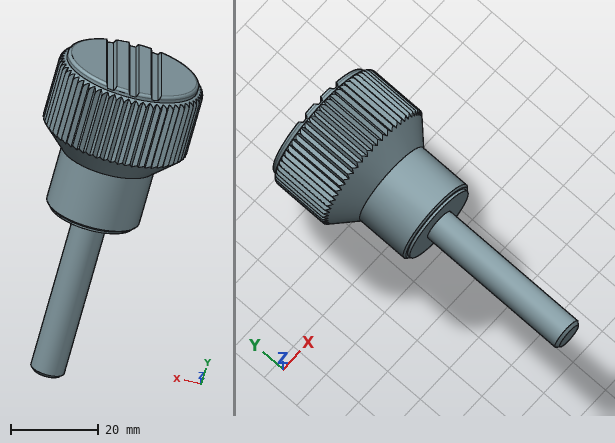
import cadquery as cq
import math


total_length = 77.5
stem_length = 40.0
head_length = total_length - stem_length

stem_diameter = 8.0
stem_chamfer = 0.8

seat_diameter = 20.0
seat_height = 0.7
neck_diameter = 22.0
neck_chamfer = 0.5
neck_top = 14.6

grip_diameter = 34.0
tooth_count = 60
tooth_depth = 0.85

cap_diameter = 31.0
cap_height = 1.5
cap_edge_radius = 0.7

groove_count = 3
groove_spacing = 5.3
groove_depth = 1.0
groove_top_width = 2.4
groove_floor_width = 1.4

stem_radius = stem_diameter / 2
seat_radius = seat_diameter / 2
neck_radius = neck_diameter / 2
grip_radius = grip_diameter / 2
cap_radius = cap_diameter / 2

grip_edge_radius = grip_radius - cap_radius
grip_top = head_length - cap_height


def make_stem():
    return (
        cq.Workplane("XZ")
        .circle(stem_radius)
        .extrude(stem_length)
        .faces("<Y")
        .chamfer(stem_chamfer)
    )


def make_head():
    """Turned head with a 45 degree cone between the neck and the grip."""
    cone_top = neck_top + grip_radius - neck_radius
    arc_middle = 1 - math.sqrt(0.5)
    grip_inset = grip_edge_radius * arc_middle
    cap_inset = cap_edge_radius * arc_middle
    return (
        cq.Workplane("XY")
        .moveTo(0, 0)
        .lineTo(seat_radius, 0)
        .lineTo(seat_radius, seat_height)
        .lineTo(neck_radius - neck_chamfer, seat_height)
        .lineTo(neck_radius, seat_height + neck_chamfer)
        .lineTo(neck_radius, neck_top)
        .lineTo(grip_radius, cone_top)
        .lineTo(grip_radius, grip_top - grip_edge_radius)
        .threePointArc(
            (grip_radius - grip_inset, grip_top - grip_inset),
            (cap_radius, grip_top),
        )
        .lineTo(cap_radius, head_length - cap_edge_radius)
        .threePointArc(
            (cap_radius - cap_inset, head_length - cap_inset),
            (cap_radius - cap_edge_radius, head_length),
        )
        .lineTo(0, head_length)
        .close()
        .revolve(360, (0, 0, 0), (0, 1, 0))
    )


def make_toothed_prism():
    """Star-shaped prism along the head; its points are the crests of the teeth."""
    points = []
    for step in range(2 * tooth_count):
        angle = math.pi * step / tooth_count
        radius = grip_radius if step % 2 == 0 else grip_radius - tooth_depth
        points.append((radius * math.cos(angle), radius * math.sin(angle)))
    return cq.Workplane("XZ").polyline(points).close().extrude(-head_length)


def make_cap_groove(x_center):
    """Groove with sloped walls, running the full width of the cap along Z."""
    floor = head_length - groove_depth
    return (
        cq.Workplane("XY")
        .moveTo(x_center - groove_floor_width / 2, floor)
        .lineTo(x_center + groove_floor_width / 2, floor)
        .lineTo(x_center + groove_top_width / 2, head_length)
        .lineTo(x_center - groove_top_width / 2, head_length)
        .close()
        .extrude(cap_radius, both=True)
    )


head = make_head().intersect(make_toothed_prism())
for index in range(groove_count):
    offset = (index - (groove_count - 1) / 2) * groove_spacing
    head = head.cut(make_cap_groove(offset))

result = head.union(make_stem())